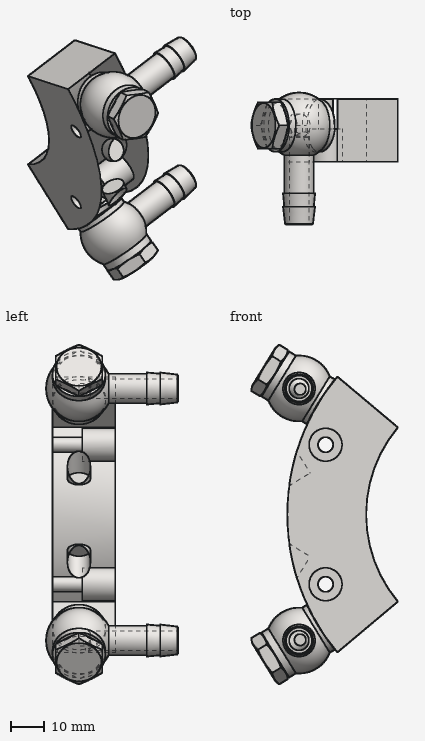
import cadquery as cq
import math


outer_radius = 65.0
inner_radius = 41.0
half_span = 40.0
front_y = -11.0
back_y = 8.0
thickness = back_y - front_y

mount_radius = 57.4
mount_angle = 21.6
mount_hole_diameter = 4.5
counterbore_diameter = 10.0
counterbore_depth = 10.0

slant_hole_diameter = 7.0
slant_entry_z = 14.5
slant_angle = 58.6
slant_depth = 4.3
slant_exit_length = 14.0

ball_diameter = 20.0
ball_x = -61.4
ball_z = 38.1
fitting_tilt = 31.5
collar_diameter = 16.0
seat_length = 8.4
washer_end = 8.4
head_end = 12.5
head_flats = 14.2
head_corners = head_flats / math.cos(math.radians(30))
head_face_diameter = 13.6
head_chamfer_height = 0.5

pipe_end = 30.0
pipe_diameter = 9.0
barb_diameter = 9.8
first_barb = 20.6
second_barb = 24.6
tip_diameter = 8.5
tip_face_diameter = 7.8
tip_chamfer_length = 0.3
bore_diameter = 6.0

shank_diameter = 7.0
port_diameter = 3.5
port_offset = 0.4


def polar_point(radius, angle):
    """Point in the XZ plane at an angle in degrees, measured from -X towards +Z."""
    return (-radius * math.cos(math.radians(angle)), radius * math.sin(math.radians(angle)))


def ring_segment():
    return (
        cq.Workplane("XZ", origin=(0, back_y, 0))
        .moveTo(*polar_point(outer_radius, half_span))
        .threePointArc(polar_point(outer_radius, 0), polar_point(outer_radius, -half_span))
        .lineTo(*polar_point(inner_radius, -half_span))
        .threePointArc(polar_point(inner_radius, 0), polar_point(inner_radius, half_span))
        .close()
        .extrude(thickness)
    )


def drill_y(x, z, diameter, start_y, end_y):
    """Cylinder along +Y from start_y to end_y."""
    start = cq.Vector(x, start_y, z)
    return cq.Workplane(cq.Solid.makeCylinder(diameter / 2, end_y - start_y, start, cq.Vector(0, 1, 0)))


def mounting_hole(x, z):
    through = drill_y(x, z, mount_hole_diameter, front_y, back_y)
    counterbore = drill_y(x, z, counterbore_diameter, front_y, front_y + counterbore_depth)
    return through.union(counterbore)


def slant_hole():
    """Flat-bottomed hole running down into the upper half of the outer face."""
    slope = math.radians(slant_angle)
    outward = cq.Vector(-math.cos(slope), 0, math.sin(slope))
    entry_x = -math.sqrt(outer_radius ** 2 - slant_entry_z ** 2)
    bottom = cq.Vector(entry_x, 0, slant_entry_z) - outward * slant_depth
    length = slant_depth + slant_exit_length
    return cq.Workplane(cq.Solid.makeCylinder(slant_hole_diameter / 2, length, bottom, outward))


def hexagon_head():
    """Hexagon head along +Z with both ends chamfered; its corners lie on the local X axis."""
    head = (
        cq.Workplane("XY", origin=(0, 0, washer_end))
        .polygon(6, head_corners)
        .extrude(head_end - washer_end)
    )
    face_radius = head_face_diameter / 2
    rim_radius = head_corners / 2
    envelope = (
        cq.Workplane("XZ")
        .moveTo(0, washer_end)
        .lineTo(face_radius, washer_end)
        .lineTo(rim_radius, washer_end + head_chamfer_height)
        .lineTo(rim_radius, head_end - head_chamfer_height)
        .lineTo(face_radius, head_end)
        .lineTo(0, head_end)
        .close()
        .revolve(360, (0, 0, 0), (0, 1, 0))
    )
    return head.intersect(envelope)


def barb():
    """Barbed pipe along -Y, starting at the ball centre."""
    return (
        cq.Workplane("XY")
        .lineTo(pipe_diameter / 2, 0)
        .lineTo(pipe_diameter / 2, -first_barb)
        .lineTo(barb_diameter / 2, -first_barb)
        .lineTo(pipe_diameter / 2, -second_barb)
        .lineTo(barb_diameter / 2, -second_barb)
        .lineTo(tip_diameter / 2, tip_chamfer_length - pipe_end)
        .lineTo(tip_face_diameter / 2, -pipe_end)
        .lineTo(0, -pipe_end)
        .close()
        .revolve(360, (0, 0, 0), (0, 1, 0))
    )


def fitting():
    """Upper fitting; its axis is built along local +Z and then tilted towards -X."""
    ball = cq.Workplane("XY").sphere(ball_diameter / 2)
    collar = (
        cq.Workplane("XY", origin=(0, 0, -seat_length))
        .circle(collar_diameter / 2)
        .extrude(seat_length + washer_end)
    )
    bore = drill_y(0, 0, bore_diameter, -pipe_end, 0)
    shank = cq.Workplane("XY").circle(shank_diameter / 2).extrude(shank_diameter, both=True)
    port = drill_y(0, -port_offset, port_diameter, -shank_diameter, 0)
    solid = ball.union(collar).union(hexagon_head()).union(barb())
    solid = solid.cut(bore.cut(shank)).cut(port)
    return solid.rotate((0, 0, 0), (0, 1, 0), fitting_tilt - 90).translate((ball_x, 0, ball_z))


def both_halves(upper):
    """The upper feature together with its mirror image below Z = 0."""
    return upper.union(upper.mirror("XY"))


mount_x, mount_z = polar_point(mount_radius, mount_angle)
body = ring_segment()
body = body.cut(both_halves(mounting_hole(mount_x, mount_z)))
body = body.cut(both_halves(slant_hole()))
result = body.union(both_halves(fitting()))